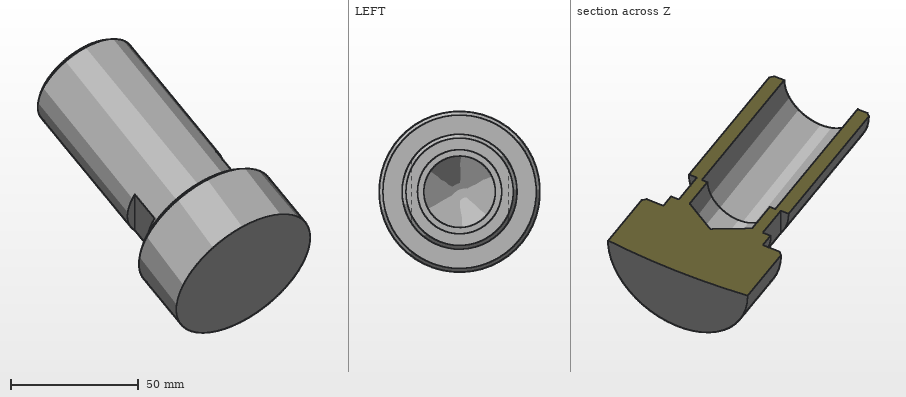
import cadquery as cq
import math

length = 114.8
head_diameter = 63.0
shank_diameter = 45.0
shank_length = 85.0
edge_chamfer = 1.5

dome_height = 1.7
head_radius = head_diameter / 2
shank_radius = shank_diameter / 2
dome_radius = (head_radius**2 + dome_height**2) / (2 * dome_height)

bore_diameter = 32.9
bore_depth = 65.0
pilot_diameter = 28.0
pilot_depth = 79.0
drill_point_angle = 118.0

flat_start = 65.0
flat_width = 14.0
across_flats = 38.0


def make_body():
    """Revolve the chamfered shank and the domed head about X."""
    rim_x = length - dome_height
    half_rim = head_radius / 2
    dome_mid_x = length - dome_radius + math.sqrt(dome_radius**2 - half_rim**2)
    return (
        cq.Workplane("XY")
        .lineTo(0, shank_radius - edge_chamfer)
        .lineTo(edge_chamfer, shank_radius)
        .lineTo(shank_length, shank_radius)
        .lineTo(shank_length, head_radius - edge_chamfer)
        .lineTo(shank_length + edge_chamfer, head_radius)
        .lineTo(rim_x, head_radius)
        .threePointArc((dome_mid_x, half_rim), (length, 0))
        .close()
        .revolve(360, (0, 0, 0), (1, 0, 0))
    )


def make_bore():
    """Revolve the stepped bore, ending in the drill point."""
    bore_radius = bore_diameter / 2
    pilot_radius = pilot_diameter / 2
    point_depth = pilot_radius / math.tan(math.radians(drill_point_angle / 2))
    return (
        cq.Workplane("XY")
        .lineTo(0, bore_radius)
        .lineTo(bore_depth, bore_radius)
        .lineTo(bore_depth, pilot_radius)
        .lineTo(pilot_depth, pilot_radius)
        .lineTo(pilot_depth + point_depth, 0)
        .close()
        .revolve(360, (0, 0, 0), (1, 0, 0))
    )


def make_flat_cutter(side):
    """Block outside one wrench flat; side is +1 or -1 along Y."""
    cutter_depth = shank_radius
    center_x = flat_start + flat_width / 2
    center_y = side * (across_flats + cutter_depth) / 2
    return (
        cq.Workplane("XY")
        .box(flat_width, cutter_depth, shank_diameter)
        .translate((center_x, center_y, 0))
    )


result = make_body().cut(make_bore())
for side in (-1, 1):
    result = result.cut(make_flat_cutter(side))